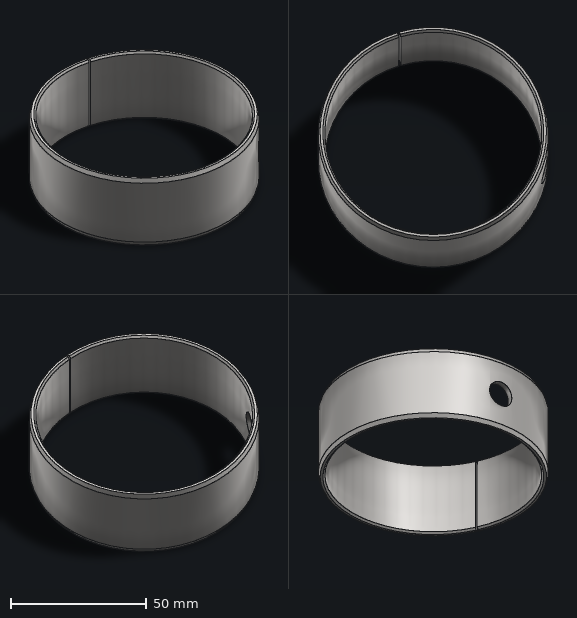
import cadquery as cq
import math

outer_diameter = 85.0
wall = 2.5
height = 30.0
outer_chamfer_height = 1.8
outer_chamfer_width = 0.7
inner_chamfer = 0.8
hole_diameter = 10.0

gap_start_angle = 179.0
gap_end_angle = 180.0
hole_from_gap = 120.0

outer_radius = outer_diameter / 2
inner_radius = outer_radius - wall
hole_angle = gap_start_angle - hole_from_gap


def split_ring():
    """Revolve the chamfered wall section around the axis, leaving the narrow gap open."""
    section = [
        (inner_radius, inner_chamfer),
        (inner_radius + inner_chamfer, 0),
        (outer_radius - outer_chamfer_width, 0),
        (outer_radius, outer_chamfer_height),
        (outer_radius, height - outer_chamfer_height),
        (outer_radius - outer_chamfer_width, height),
        (inner_radius + inner_chamfer, height),
        (inner_radius, height - inner_chamfer),
    ]
    sweep_angle = 360 - (gap_end_angle - gap_start_angle)
    ring = cq.Workplane("XZ").polyline(section).close().revolve(sweep_angle, (0, 0, 0), (0, 1, 0))
    return ring.rotate((0, 0, 0), (0, 0, 1), gap_end_angle)


def radial_hole():
    """Cylinder at mid-height, from the axis out through one side of the wall."""
    angle = math.radians(hole_angle)
    direction = (math.cos(angle), math.sin(angle), 0)
    plane = cq.Plane(origin=(0, 0, height / 2), xDir=(0, 0, 1), normal=direction)
    return cq.Workplane(plane).circle(hole_diameter / 2).extrude(outer_diameter)


result = split_ring().cut(radial_hole())